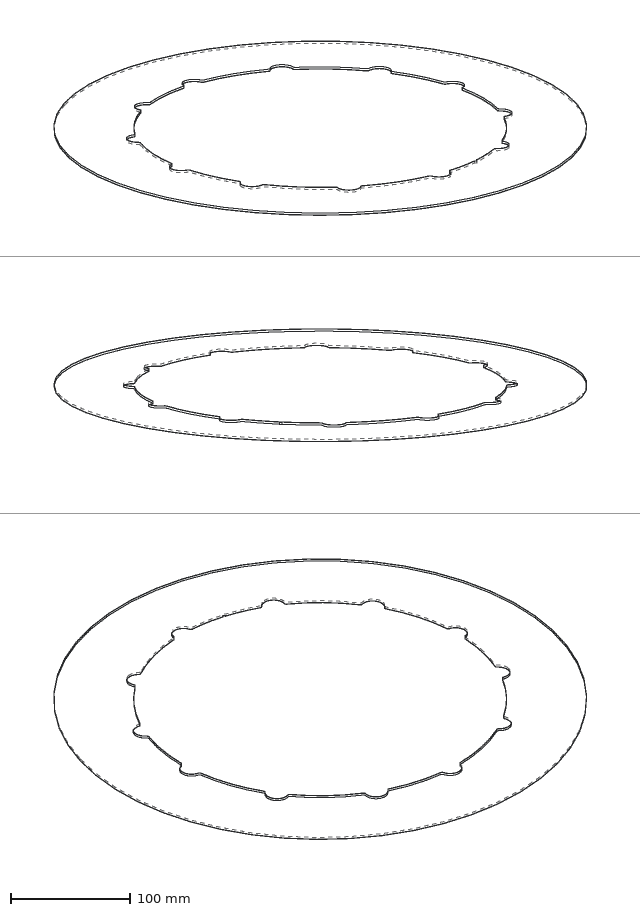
import cadquery as cq

outer_diameter = 446.0
bore_diameter = 312.0
thickness = 2.0

notch_radius = 10.0
notch_tip_radius = 165.0
notch_center_radius = notch_tip_radius - notch_radius
notch_mouth_fillet = 2.0

upper_notch_angles = [16.5, 47.5, 78.0, 105.0, 135.5, 166.5]

nick_radius = 1.25
nick_center_radius = bore_diameter / 2


def make_ring():
    return (
        cq.Workplane("XY")
        .circle(outer_diameter / 2)
        .circle(bore_diameter / 2)
        .extrude(thickness)
    )


def make_round_cutter(radius, center_radius, angle):
    return (
        cq.Workplane("XY")
        .center(center_radius, 0)
        .circle(radius)
        .extrude(thickness)
        .rotate((0, 0, 0), (0, 0, 1), angle)
    )


def cut_notches(ring):
    for upper_angle in upper_notch_angles:
        for angle in (upper_angle, -upper_angle):
            ring = ring.cut(make_round_cutter(notch_radius, notch_center_radius, angle))
    return ring


def round_notch_mouths(ring):
    reach = notch_tip_radius
    bore_corners = cq.selectors.BoxSelector((-reach, -reach, 0), (reach, reach, thickness))
    return ring.edges("|Z").edges(bore_corners).fillet(notch_mouth_fillet)


def cut_index_nick(ring):
    return ring.cut(make_round_cutter(nick_radius, nick_center_radius, 0))


notched_ring = round_notch_mouths(cut_notches(make_ring()))
result = cut_index_nick(notched_ring)